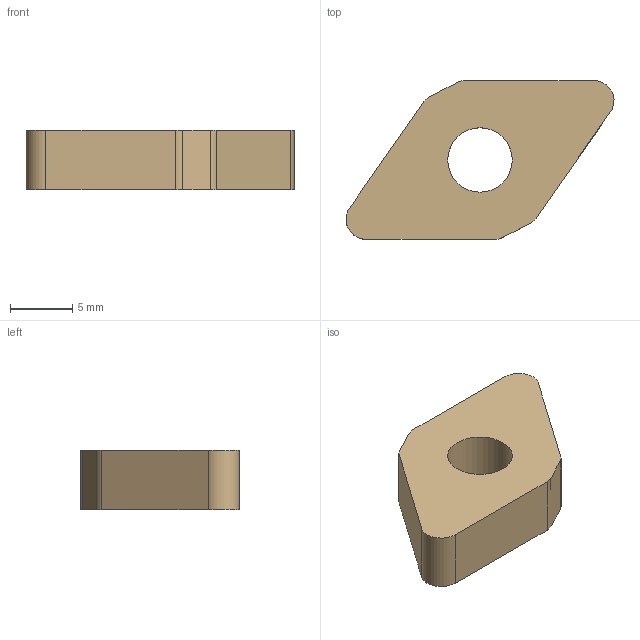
import cadquery as cq
import math

inscribed_diameter = 12.7
nose_angle = 55.0
nose_radius = 1.5875
blunt_radius = 1.25
thickness = 4.76
hole_diameter = 5.16

inscribed_radius = inscribed_diameter / 2
half_nose = math.radians(nose_angle / 2)
nose_reach = inscribed_radius / math.sin(half_nose)
blunt_reach = inscribed_radius / math.cos(half_nose / 2)


def polar_point(reach, angle):
    """Point at a distance from the hole axis, in a direction from +X."""
    return (reach * math.cos(angle), reach * math.sin(angle))


def half_outline(turn):
    """One acute corner and the two ends of the next blunt flat, rotated by turn."""
    blunt_direction = turn + half_nose + math.pi / 2
    return [
        polar_point(nose_reach, turn + half_nose),
        polar_point(blunt_reach, blunt_direction - half_nose / 2),
        polar_point(blunt_reach, blunt_direction + half_nose / 2),
    ]


def round_corners(body, corners, radius):
    """Fillet the upright edges that stand on the given outline corners."""
    for x, y in corners:
        edge = cq.selectors.NearestToPointSelector((x, y, thickness / 2))
        body = body.edges("|Z").edges(edge).fillet(radius)
    return body


first_half = half_outline(0)
second_half = half_outline(math.pi)
plate = cq.Workplane("XY").polyline(first_half + second_half).close().extrude(thickness)

acute_corners = [first_half[0], second_half[0]]
blunt_corners = first_half[1:] + second_half[1:]
plate = round_corners(plate, acute_corners, nose_radius)
plate = round_corners(plate, blunt_corners, blunt_radius)

result = plate.faces(">Z").workplane(origin=(0, 0, thickness)).hole(hole_diameter)